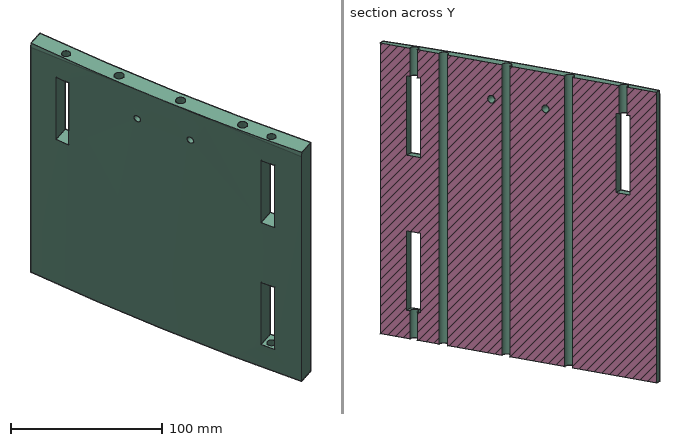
import cadquery as cq
import math

WIDTH = 209.5
HEIGHT = 203.3
DEPTH = 15.0
BOW = 3.04

BEVEL_HEIGHT = 3.1
BEVEL_DEPTH = 0.5

SLOT_WIDTH = 10.0
SLOT_HEIGHT = 55.1
SLOT_X = 79.5
SLOT_MARGIN = 20.0

CROSS_HOLE_DIAMETER = 5.0
CROSS_HOLE_X = 20.5
CROSS_HOLE_DROP = 25.5

LONG_HOLE_DIAMETER = 6.5
LONG_HOLES = [(-38.1, 6.0), (9.5, 6.0), (57.0, 6.7)]

PIN_HOLE_DIAMETER = 5.9
PIN_HOLE_Y = 6.5


def bowed_panel(bow, back, height):
    """Panel with parallel arcs front and back; the front touches Y = 0 at the middle."""
    half = WIDTH / 2
    return (
        cq.Workplane("XY")
        .moveTo(-half, bow)
        .threePointArc((0, 0), (half, bow))
        .lineTo(half, back)
        .threePointArc((0, back - bow), (-half, back))
        .close()
        .extrude(height)
    )


def top_bevel_keeper():
    """Tighter bowed body, leaning back about the top middle point, that trims the front edge."""
    lean = math.degrees(math.atan(BEVEL_DEPTH / BEVEL_HEIGHT))
    spare = DEPTH
    body = bowed_panel(BOW + BEVEL_DEPTH, DEPTH + 3 * spare, 4 * spare)
    body = body.translate((0, 0, HEIGHT - 2 * spare))
    return body.rotate((0, 0, HEIGHT), (1, 0, HEIGHT), -lean)


def slot(x, z_middle):
    return cq.Workplane("XY").box(SLOT_WIDTH, 4 * DEPTH, SLOT_HEIGHT).translate((x, 0, z_middle))


def upright_hole(x, y, diameter, z_start, length):
    return cq.Workplane("XY", origin=(x, y, z_start)).circle(diameter / 2).extrude(length)


plate = bowed_panel(BOW, DEPTH, HEIGHT)

strip_height = 2 * BEVEL_HEIGHT
strip = cq.Workplane("XY").box(2 * WIDTH, 4 * DEPTH, strip_height, centered=(True, True, False))
strip = strip.translate((0, 0, HEIGHT - strip_height))
plate = plate.cut(strip.cut(top_bevel_keeper()))

low_slot_z = SLOT_MARGIN + SLOT_HEIGHT / 2
high_slot_z = HEIGHT - low_slot_z
for x, z in [(-SLOT_X, high_slot_z), (SLOT_X, high_slot_z), (SLOT_X, low_slot_z)]:
    plate = plate.cut(slot(x, z))

for x in (-CROSS_HOLE_X, CROSS_HOLE_X):
    start = cq.Workplane("XZ", origin=(x, 0, HEIGHT - CROSS_HOLE_DROP))
    plate = plate.cut(start.circle(CROSS_HOLE_DIAMETER / 2).extrude(2 * DEPTH, both=True))

for x, y in LONG_HOLES:
    plate = plate.cut(upright_hole(x, y, LONG_HOLE_DIAMETER, 0, HEIGHT))

pin_hole_length = SLOT_MARGIN + SLOT_WIDTH
top_start = HEIGHT - pin_hole_length
for x, z in [(-SLOT_X, top_start), (SLOT_X, top_start), (SLOT_X, 0)]:
    plate = plate.cut(upright_hole(x, PIN_HOLE_Y, PIN_HOLE_DIAMETER, z, pin_hole_length))

result = plate